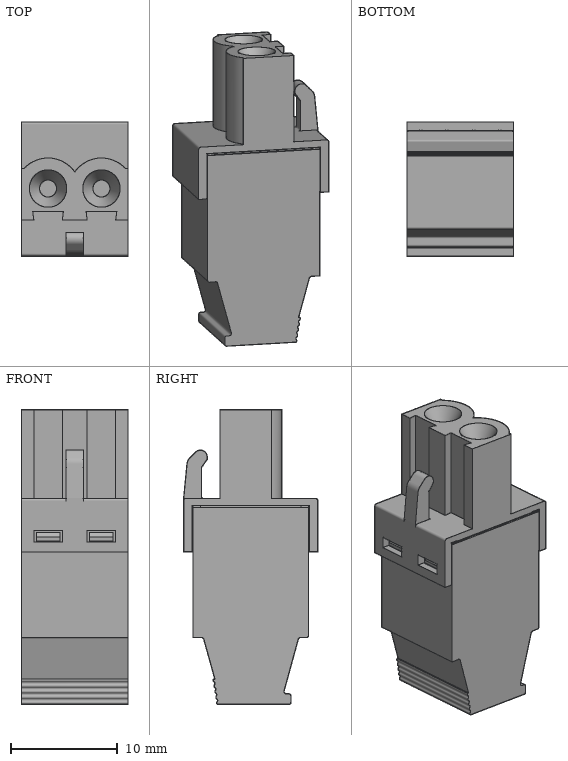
import cadquery as cq
import math


WIDTH = 10.0
DEPTH = 12.59
HEIGHT = 27.6
POLES = 2
PITCH = WIDTH / POLES
POLE_X = [(i - (POLES - 1) / 2) * PITCH for i in range(POLES)]

COLLAR_TOP = 19.3
COLLAR_BOTTOM = 18.62
COLLAR_ROUND = 0.25
SKIRT_BOTTOM = 14.28
SKIRT_INNER_Y = 5.5

BODY_Y = 5.42
BODY_TOP = 18.44
BODY_BOTTOM = 6.25
CORNER_ROUND = 0.2
SHOULDER_BACK_Y = 4.5
SHOULDER_FRONT_Y = 4.45
WAIST_Y = 3.06
LIP_TOP = 1.0
LIP_Y = 3.77
FRONT_WALL_END_Y = 3.37

GRIP_TOP = 2.37
GRIP_TOP_Y = 3.49
GRIP_BOTTOM_Y = 3.11
GRIP_ARCS = 9
GRIP_SAGITTA = 0.06

GROOVE_DEPTH = 0.1
GROOVE_MIDDLE_Y = 4.71
GROOVE_MIDDLE_DEPTH = 0.2

WINDOW_WIDTH = 2.67
WINDOW_BOTTOM = 15.22
WINDOW_TOP = 16.28
TOOTH_WIDTH = 2.2
TOOTH_BOTTOM = 15.31
TOOTH_FACE_TOP = 15.66
TOOTH_TOP = 16.09
TOOTH_FACE_Y = 5.7

TOWER_FRONT_Y = -2.9
TOWER_SIDE_Y = 1.94
TOWER_BACK_Y = 2.91
TOWER_RADIUS = 3.05
KEYWAY_MOUTH = 2.67
KEYWAY_FLOOR = 2.87
KEYWAY_DEPTH = 0.8
SOCKET_Y = 0.05
SOCKET_MOUTH_DIAMETER = 3.5
SOCKET_FLOOR_DIAMETER = 1.59
SOCKET_DEPTH = 1.9

LATCH_WIDTH = 1.6
LATCH_INNER_Y = -4.6
LATCH_KNEE_Z = 22.2
LATCH_NOSE_Y = -4.07
LATCH_NOSE_Z = 22.95
LATCH_TIP_RADIUS = 0.65
LATCH_TIP_Z = 23.82
LATCH_SHOULDER_Y = -5.95
LATCH_SHOULDER_Z = 22.85
LATCH_SHOULDER_ROUND = 0.9
LATCH_FOOT_ROUND = 0.15


def extrude_across(profile, width, center_x=0.0):
    """Extrude a closed YZ outline along X, centred on center_x."""
    return profile.extrude(width / 2, both=True).translate((center_x, 0, 0))


def block(width, y_min, y_max, z_min, z_max, center_x=0.0):
    """Box centred on center_x with the given Y and Z limits."""
    box = cq.Workplane("XY").box(width, y_max - y_min, z_max - z_min)
    return box.translate((center_x, (y_min + y_max) / 2, (z_min + z_max) / 2))


def make_grip():
    """Wedge below the housing, with a lip at the back and a wavy front."""
    outline = (
        cq.Workplane("YZ")
        .moveTo(-SHOULDER_FRONT_Y, BODY_BOTTOM)
        .lineTo(-FRONT_WALL_END_Y, GRIP_TOP)
        .lineTo(-GRIP_TOP_Y, GRIP_TOP)
    )
    slope_run = GRIP_TOP_Y - GRIP_BOTTOM_Y
    for i in range(GRIP_ARCS):
        bulge = -GRIP_SAGITTA if i % 2 == 0 else GRIP_SAGITTA
        middle = (i + 0.5) / GRIP_ARCS
        end = (i + 1) / GRIP_ARCS
        outline = outline.threePointArc(
            (-GRIP_TOP_Y + slope_run * middle + bulge, GRIP_TOP * (1 - middle)),
            (-GRIP_TOP_Y + slope_run * end, GRIP_TOP * (1 - end)),
        )
    outline = (
        outline.lineTo(LIP_Y, 0)
        .lineTo(LIP_Y, LIP_TOP)
        .lineTo(WAIST_Y, LIP_TOP)
        .lineTo(SHOULDER_BACK_Y, BODY_BOTTOM)
        .close()
    )
    grip = extrude_across(outline, WIDTH)
    lip_edges = cq.selectors.BoxSelector(
        (-WIDTH, WAIST_Y - CORNER_ROUND, -CORNER_ROUND),
        (WIDTH, LIP_Y + CORNER_ROUND, LIP_TOP + CORNER_ROUND),
    )
    return grip.edges("|X").edges(lip_edges).fillet(CORNER_ROUND)


def make_housing():
    """Housing block joined to the grip, with rounded shoulders."""
    housing = block(WIDTH, -BODY_Y, BODY_Y, BODY_BOTTOM, COLLAR_TOP)
    housing = housing.union(make_grip())
    shoulder_edges = cq.selectors.BoxSelector(
        (-WIDTH, -SHOULDER_FRONT_Y - CORNER_ROUND, BODY_BOTTOM - CORNER_ROUND),
        (WIDTH, BODY_Y + CORNER_ROUND, BODY_BOTTOM + CORNER_ROUND),
    )
    return housing.edges("|X").edges(shoulder_edges).fillet(CORNER_ROUND)


def make_collar():
    """Collar plate with rounded top edges and a skirt hanging front and back."""
    collar = block(WIDTH, -DEPTH / 2, DEPTH / 2, SKIRT_BOTTOM, COLLAR_TOP)
    collar = collar.edges("|X and >Z").fillet(COLLAR_ROUND)
    return collar.cut(block(WIDTH, -SKIRT_INNER_Y, SKIRT_INNER_Y, SKIRT_BOTTOM, COLLAR_BOTTOM))


def cut_joint_grooves(part):
    """Cut the shallow joint groove into both ends of the part."""
    for side in (-1, 1):
        end_x = side * WIDTH / 2
        shallow = block(2 * GROOVE_DEPTH, -BODY_Y, BODY_Y, BODY_TOP, COLLAR_BOTTOM, end_x)
        deep = block(
            2 * GROOVE_MIDDLE_DEPTH, -GROOVE_MIDDLE_Y, GROOVE_MIDDLE_Y, BODY_TOP, COLLAR_BOTTOM, end_x
        )
        part = part.cut(shallow).cut(deep)
    return part


def make_window(center_x):
    """Opening through the front skirt."""
    return block(WINDOW_WIDTH, -DEPTH / 2, -BODY_Y, WINDOW_BOTTOM, WINDOW_TOP, center_x)


def make_snap_tooth(center_x):
    """Wedge tooth standing out of the housing inside a window."""
    outline = (
        cq.Workplane("YZ")
        .moveTo(-BODY_Y, TOOTH_BOTTOM)
        .lineTo(-TOOTH_FACE_Y, TOOTH_BOTTOM)
        .lineTo(-TOOTH_FACE_Y, TOOTH_FACE_TOP)
        .lineTo(-BODY_Y, TOOTH_TOP)
        .close()
    )
    return extrude_across(outline, TOOTH_WIDTH, center_x)


def make_tower_pole(center_x):
    """One pole of the tower: round back, dovetail keyway in front, conical socket on top."""
    tower_height = HEIGHT - COLLAR_TOP
    arc_center_y = TOWER_BACK_Y - TOWER_RADIUS
    inner_side = math.copysign(PITCH / 2, -center_x)
    inner_y = arc_center_y + math.sqrt(TOWER_RADIUS**2 - inner_side**2)
    outer_side = -inner_side
    outer_reach = math.sqrt(TOWER_RADIUS**2 - (TOWER_SIDE_Y - arc_center_y) ** 2)
    outer_end = math.copysign(outer_reach, outer_side)
    pole = (
        cq.Workplane("XY")
        .moveTo(outer_side, TOWER_FRONT_Y)
        .lineTo(inner_side, TOWER_FRONT_Y)
        .lineTo(inner_side, inner_y)
        .threePointArc((0, TOWER_BACK_Y), (outer_end, TOWER_SIDE_Y))
        .lineTo(outer_side, TOWER_SIDE_Y)
        .close()
        .extrude(tower_height)
    )
    keyway = (
        cq.Workplane("XY")
        .moveTo(-KEYWAY_MOUTH / 2, TOWER_FRONT_Y)
        .lineTo(KEYWAY_MOUTH / 2, TOWER_FRONT_Y)
        .lineTo(KEYWAY_FLOOR / 2, TOWER_FRONT_Y + KEYWAY_DEPTH)
        .lineTo(-KEYWAY_FLOOR / 2, TOWER_FRONT_Y + KEYWAY_DEPTH)
        .close()
        .extrude(tower_height)
    )
    socket = cq.Workplane(
        cq.Solid.makeCone(
            SOCKET_FLOOR_DIAMETER / 2,
            SOCKET_MOUTH_DIAMETER / 2,
            SOCKET_DEPTH,
            pnt=cq.Vector(0, SOCKET_Y, tower_height - SOCKET_DEPTH),
        )
    )
    return pole.cut(keyway).cut(socket).translate((center_x, 0, COLLAR_TOP))


def make_latch():
    """Upright latch arm, flush with the front of the collar, with a rounded hooked tip."""
    front_y = -DEPTH / 2
    root_z = COLLAR_TOP - COLLAR_ROUND
    foot_y = LATCH_INNER_Y + LATCH_FOOT_ROUND
    foot_top_z = COLLAR_TOP + LATCH_FOOT_ROUND
    outline = (
        cq.Workplane("YZ")
        .moveTo(front_y, root_z)
        .lineTo(foot_y, root_z)
        .lineTo(foot_y, COLLAR_TOP)
        .radiusArc((LATCH_INNER_Y, foot_top_z), LATCH_FOOT_ROUND)
        .lineTo(LATCH_INNER_Y, LATCH_KNEE_Z)
        .lineTo(LATCH_NOSE_Y, LATCH_NOSE_Z)
    )
    tip_center_y = LATCH_NOSE_Y - LATCH_TIP_RADIUS
    tip_center_z = LATCH_TIP_Z - LATCH_TIP_RADIUS
    diagonal = LATCH_TIP_RADIUS * math.sqrt(0.5)
    outline = (
        outline.lineTo(LATCH_NOSE_Y, tip_center_z)
        .threePointArc(
            (tip_center_y, LATCH_TIP_Z),
            (tip_center_y - diagonal, tip_center_z + diagonal),
        )
        .lineTo(LATCH_SHOULDER_Y, LATCH_SHOULDER_Z)
        .lineTo(front_y, COLLAR_TOP)
        .close()
    )
    latch = extrude_across(outline, LATCH_WIDTH)
    shoulder_edge = cq.selectors.NearestToPointSelector((0, LATCH_SHOULDER_Y, LATCH_SHOULDER_Z))
    return latch.edges("|X").edges(shoulder_edge).fillet(LATCH_SHOULDER_ROUND)


result = make_housing().union(make_collar())
result = cut_joint_grooves(result)
for pole_x in POLE_X:
    result = result.cut(make_window(pole_x)).union(make_snap_tooth(pole_x))
    result = result.union(make_tower_pole(pole_x))
result = result.union(make_latch())